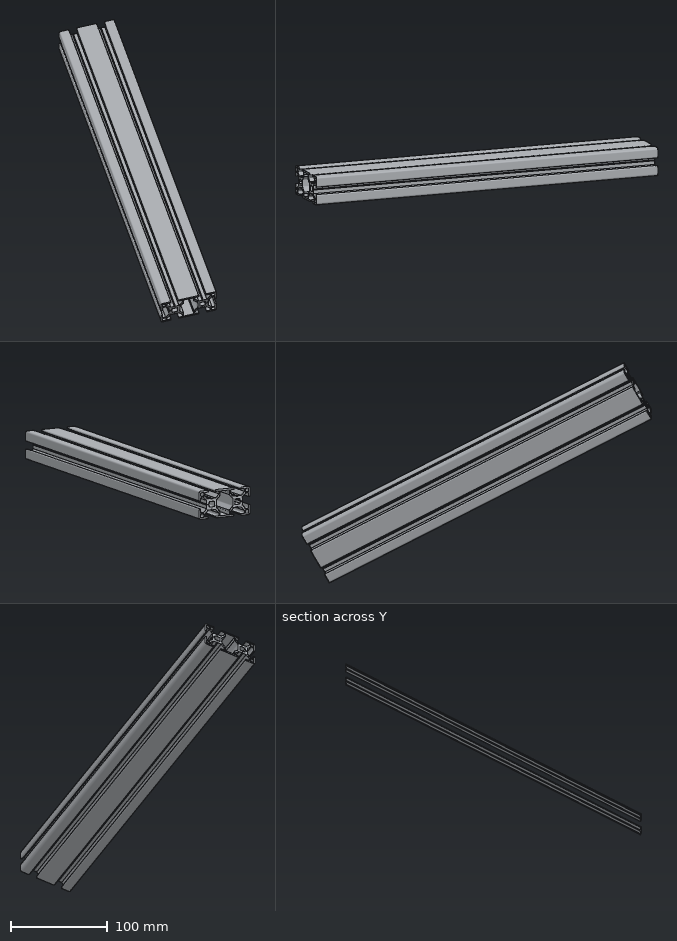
import cadquery as cq

length = 380.0
cell = 30.0
half_cell = cell / 2
corner_radius = 2.3

slot_mouth = 8.0
lip_thickness = 2.0
lip_round = 1.5
lip_underside = half_cell - lip_thickness
slot_half_width = 8.5
slot_floor = 6.0
slot_corner_radius = 1.0

rib_offset = 1.7
cavity_rib_offset = 1.33
web_thickness = 1.0
cavity_edge = slot_half_width + web_thickness
corner_cavity_radius = 0.57
cavity_core_wall = 5.5
cavity_bend_radius = 2.0

bore_size = 5.7
bore_round = 0.57
bore_notch_width = 3.8
bore_notch_depth = 1.0
groove_width = 1.0
groove_depth = 0.8


def prism(points):
    """Extrude a closed (y, z) outline along the full length, centred on X."""
    return cq.Workplane("YZ").polyline(points).close().extrude(length / 2, both=True)


def box_bar(width, height):
    return cq.Workplane("YZ").rect(width, height).extrude(length / 2, both=True)


def edges_at(y, z):
    """Selector for the lengthwise edge passing through (y, z)."""
    reach = 0.08
    return cq.selectors.BoxSelector(
        (-length, y - reach, z - reach), (length, y + reach, z + reach)
    )


def slot_cutter():
    """T-slot opening toward +Z, with sloped flanks and a V groove in its floor."""
    mouth = slot_mouth / 2
    flank_top = slot_half_width + rib_offset
    floor_edge = slot_floor - rib_offset
    right_side = [
        (groove_width / 2, slot_floor),
        (floor_edge, slot_floor),
        (slot_half_width, flank_top),
        (slot_half_width, lip_underside),
        (mouth, lip_underside),
        (mouth, half_cell),
    ]
    left_side = [(-y, z) for y, z in reversed(right_side)]
    groove_tip = (0, slot_floor - groove_depth)
    cutter = prism([groove_tip] + right_side + left_side)
    for y in (-slot_half_width, slot_half_width):
        cutter = cutter.edges(edges_at(y, lip_underside)).fillet(slot_corner_radius)

    flare = (
        cq.Workplane("YZ")
        .moveTo(mouth, half_cell - lip_round)
        .radiusArc((mouth + lip_round, half_cell), lip_round)
        .lineTo(-mouth - lip_round, half_cell)
        .radiusArc((-mouth, half_cell - lip_round), lip_round)
        .close()
        .extrude(length / 2, both=True)
    )
    return cutter.union(flare)


def corner_cavity():
    """Small closed cavity behind the +Y +Z corner of a cell."""
    size = lip_underside - cavity_edge
    middle = (lip_underside + cavity_edge) / 2
    cavity = box_bar(size, size).edges("|X").fillet(corner_cavity_radius)
    return cavity.translate((0, middle, middle))


def core_bore():
    """Square bore with rounded corners and a V notch facing +Y."""
    bore = box_bar(bore_size, bore_size).edges("|X").fillet(bore_round)
    side = bore_size / 2
    notch = prism([
        (0, bore_notch_width / 2),
        (side, bore_notch_width / 2),
        (side + bore_notch_depth, 0),
        (side, -bore_notch_width / 2),
        (0, -bore_notch_width / 2),
    ])
    return bore.union(notch)


def middle_cavity():
    """Large cavity between the two cores."""
    wide = half_cell - cavity_core_wall
    narrow = half_cell - cavity_edge
    bend_low = cavity_core_wall - cavity_rib_offset
    bend_high = cavity_edge - cavity_rib_offset
    right_side = [
        (narrow, -lip_underside),
        (narrow, -bend_high),
        (wide, -bend_low),
        (wide, bend_low),
        (narrow, bend_high),
        (narrow, lip_underside),
    ]
    left_side = [(-y, -z) for y, z in right_side]
    cavity = prism(right_side + left_side)
    for y in (-wide, wide):
        for z in (-bend_low, bend_low):
            cavity = cavity.edges(edges_at(y, z)).fillet(cavity_bend_radius)
    return cavity


def cell_cutters():
    """Everything removed from the +Y cell, centred on that cell."""
    slot = slot_cutter()
    cutters = core_bore()
    for angle in (0, -90, 180):
        cutters = cutters.union(slot.rotate((0, 0, 0), (1, 0, 0), angle))
    cavity = corner_cavity()
    return cutters.union(cavity).union(cavity.mirror("XY"))


right_cell = cell_cutters().translate((0, half_cell, 0))
result = (
    box_bar(2 * cell, cell)
    .edges("|X")
    .fillet(corner_radius)
    .cut(right_cell)
    .cut(right_cell.mirror("XZ"))
    .cut(middle_cavity())
)